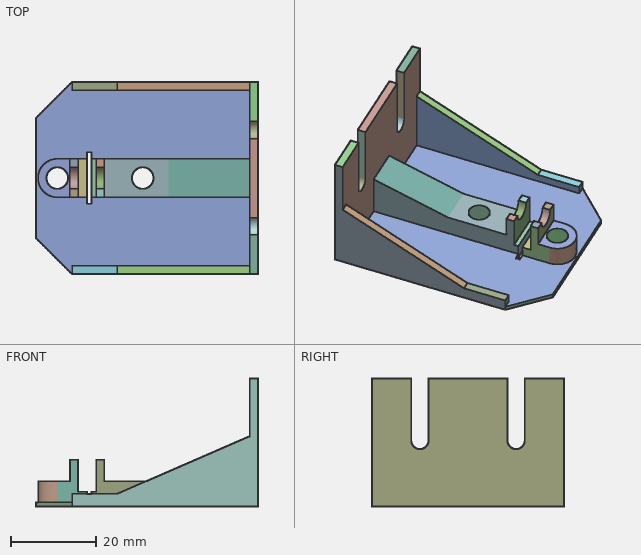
import cadquery as cq

LENGTH = 52.0
WIDTH = 45.0
HEIGHT = 30.0
FLOOR = 1.0
WALL = 2.0
CORNER = 8.45
BACK_X = LENGTH - WALL

LIP_HEIGHT = 3.0
SLOPE_START_X = 19.0
SLOPE_TOP = 16.5

SLOT_WIDTH = 4.0
SLOT_OFFSET_Y = WIDTH / 4
SLOT_BOTTOM = 13.5

RIB_WIDTH = 9.0
NOSE_RADIUS = RIB_WIDTH / 2
NOSE_X = 5.0
RIB_TOP = 6.0
RAMP_START_X = 31.0
RAMP_TOP = 11.1

POST_THICKNESS = 1.95
POST_TOP = 11.0
GAP_CENTER_X = 12.0
GAP_WIDTH = 4.2
GAP_START_X = GAP_CENTER_X - GAP_WIDTH / 2
GAP_END_X = GAP_CENTER_X + GAP_WIDTH / 2
FRONT_POST_X = GAP_START_X - POST_THICKNESS
REAR_POST_END_X = GAP_END_X + POST_THICKNESS
GAP_BOTTOM = 3.5
CRADLE_RADIUS = 2.5

HOLE_DIAMETER = 5.0
HOLE_XS = (NOSE_X, 25.0)
SLIT_X = 12.5
SLIT_WIDTH = 1.0
SLIT_LENGTH = 12.0


def make_floor():
    half = WIDTH / 2
    outline = [
        (0, CORNER - half),
        (CORNER, -half),
        (LENGTH, -half),
        (LENGTH, half),
        (CORNER, half),
        (0, half - CORNER),
    ]
    return cq.Workplane("XY").polyline(outline).close().extrude(FLOOR)


def make_side_wall(outer_y):
    """Side wall profile in XZ, extruded toward -Y from outer_y."""
    profile = [
        (CORNER, 0),
        (LENGTH, 0),
        (LENGTH, SLOPE_TOP),
        (BACK_X, SLOPE_TOP),
        (SLOPE_START_X, LIP_HEIGHT),
        (CORNER, LIP_HEIGHT),
    ]
    plane = cq.Workplane("XZ", origin=(0, outer_y, 0))
    return plane.polyline(profile).close().extrude(WALL)


def make_back_wall():
    wall = cq.Workplane("XY").box(WALL, WIDTH, HEIGHT, centered=(False, True, False))
    wall = wall.translate((BACK_X, 0, 0))
    radius = SLOT_WIDTH / 2
    arc_z = SLOT_BOTTOM + radius
    for y in (-SLOT_OFFSET_Y, SLOT_OFFSET_Y):
        slot = (
            cq.Workplane("YZ", origin=(BACK_X, 0, 0))
            .moveTo(y - radius, HEIGHT)
            .lineTo(y - radius, arc_z)
            .threePointArc((y, SLOT_BOTTOM), (y + radius, arc_z))
            .lineTo(y + radius, HEIGHT)
            .close()
            .extrude(WALL)
        )
        wall = wall.cut(slot)
    return wall


def make_rib():
    """Rib, posts and ramp as one XZ profile, with the round nose added in front."""
    profile = [
        (NOSE_X, 0),
        (LENGTH, 0),
        (LENGTH, RAMP_TOP),
        (BACK_X, RAMP_TOP),
        (RAMP_START_X, RIB_TOP),
        (REAR_POST_END_X, RIB_TOP),
        (REAR_POST_END_X, POST_TOP),
        (GAP_END_X, POST_TOP),
        (GAP_END_X, GAP_BOTTOM),
        (GAP_START_X, GAP_BOTTOM),
        (GAP_START_X, POST_TOP),
        (FRONT_POST_X, POST_TOP),
        (FRONT_POST_X, RIB_TOP),
        (NOSE_X, RIB_TOP),
    ]
    rib = cq.Workplane("XZ").polyline(profile).close().extrude(RIB_WIDTH / 2, both=True)
    nose = cq.Workplane("XY").center(NOSE_X, 0).circle(NOSE_RADIUS).extrude(RIB_TOP)
    return rib.union(nose)


def make_cradle_cut():
    """Round bar along X that hollows the tops of both posts."""
    plane = cq.Workplane("YZ", origin=(FRONT_POST_X, 0, POST_TOP))
    return plane.circle(CRADLE_RADIUS).extrude(REAR_POST_END_X - FRONT_POST_X)


def make_floor_openings():
    holes = (
        cq.Workplane("XY")
        .pushPoints([(x, 0) for x in HOLE_XS])
        .circle(HOLE_DIAMETER / 2)
        .extrude(RIB_TOP)
    )
    slit = cq.Workplane("XY").center(SLIT_X, 0).rect(SLIT_WIDTH, SLIT_LENGTH).extrude(GAP_BOTTOM)
    return holes.union(slit)


rib = make_rib().cut(make_cradle_cut())
body = make_floor().union(make_back_wall()).union(rib)
for outer_y in (WIDTH / 2, WALL - WIDTH / 2):
    body = body.union(make_side_wall(outer_y))
result = body.cut(make_floor_openings())